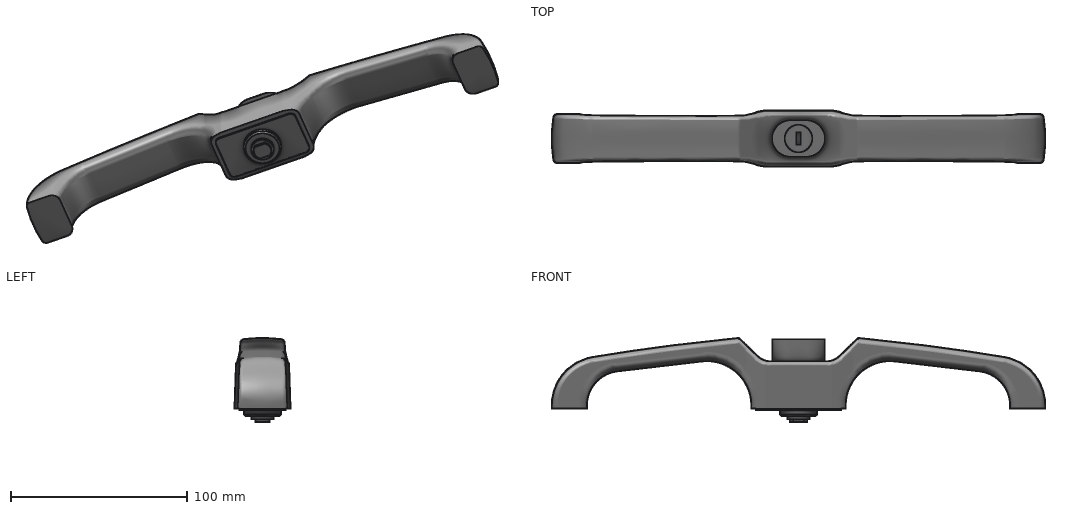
import cadquery as cq
import math


HANDLE_LENGTH = 279.89
HALF_LENGTH = HANDLE_LENGTH / 2
HUB_WIDTH = 32.0
ARM_WIDTH = 28.0
DRAFT_ANGLE = 2.0
HUB_FLAT_HALF_LENGTH = 19.0
HUB_BLEND_END = 30.3
HUB_BLEND_RADIUS = 3.0
PLATFORM_HEIGHT = 26.9
SHOULDER_BASE = 20.1
SHOULDER_ANGLE = 44.0
PLATFORM_CORNER_RADIUS = 11.0
TOP_EDGE_RADIUS = 2.6
HANDLE_TOP = 40.15
TIP_TRIM = 0.058
TIP_HEIGHT = HANDLE_TOP + TIP_TRIM
TIP_RADIUS = 1.5
TIP_X = SHOULDER_BASE + (TIP_HEIGHT - PLATFORM_HEIGHT) / math.tan(math.radians(SHOULDER_ANGLE))

FOOT_STRAIGHT = 2.0
OUTER_BEND_RADIUS = 27.8
OUTER_BEND_SLOPE = 9.3
CROWN_HEIGHT = 2.2
CUTTER_HALF_WIDTH = 18.0
CUTTER_DEPTH = 30.0

OPENING_OUTER_X = 119.8
OPENING_INNER_X = 26.8
HUB_BEND_RADIUS = 24.9
FOOT_BEND_RADIUS = 19.2
OPENING_EDGE_RADIUS = 5.0
SHORTEST_EDGE = 0.2

BUTTON_LENGTH = 30.0
BUTTON_WIDTH = 20.6
BUTTON_TOP = 39.4
CORE_DIAMETER = 15.6
CORE_LENGTH = 8.0
CORE_RECESS = 0.5
KEYWAY_LENGTH = 7.0
KEYWAY_WIDTH = 2.8
KEYWAY_DEPTH = 4.0

GASKET_LENGTH = 48.5
GASKET_WIDTH = 26.5
GASKET_THICKNESS = 1.0
GASKET_CORNER_RADIUS = 3.0
COLLAR_DIAMETER = 21.2
COLLAR_THICKNESS = 3.2
COLLAR_CHAMFER = 1.0
WASHER_DIAMETER = 12.8
WASHER_THICKNESS = 1.8
SHAFT_DIAMETER = 10.0
SHAFT_FLATS = 8.0
OVERALL_HEIGHT = 47.75
COLLAR_TOP = -GASKET_THICKNESS
WASHER_TOP = COLLAR_TOP - COLLAR_THICKNESS
SHAFT_TOP = WASHER_TOP - WASHER_THICKNESS
SHAFT_BOTTOM = HANDLE_TOP - OVERALL_HEIGHT


def handle_plan():
    """Drafted block that bounds the side walls of one arm and half of the hub."""
    overrun = 20.0
    arm_y = ARM_WIDTH / 2
    hub_y = HUB_WIDTH / 2
    far_x = -HALF_LENGTH - overrun
    turn = math.atan2(hub_y - arm_y, HUB_BLEND_END - HUB_FLAT_HALF_LENGTH)
    tangent = HUB_BLEND_RADIUS * math.tan(turn / 2)
    arm_point_x = -HUB_BLEND_END - tangent
    hub_point_x = -HUB_BLEND_END + tangent * math.cos(turn)
    rise = tangent * math.sin(turn)
    return (
        cq.Workplane("XY")
        .moveTo(far_x, arm_y)
        .lineTo(arm_point_x, arm_y)
        .tangentArcPoint((hub_point_x, arm_y + rise), relative=False)
        .lineTo(-HUB_FLAT_HALF_LENGTH, hub_y)
        .lineTo(HUB_FLAT_HALF_LENGTH, hub_y)
        .lineTo(HUB_FLAT_HALF_LENGTH, -hub_y)
        .lineTo(-HUB_FLAT_HALF_LENGTH, -hub_y)
        .lineTo(hub_point_x, -arm_y - rise)
        .tangentArcPoint((arm_point_x, -arm_y), relative=False)
        .lineTo(far_x, -arm_y)
        .close()
        .extrude(TIP_HEIGHT + overrun, taper=DRAFT_ANGLE)
    )


def shoulder_outline():
    """Extruded outline giving the platform and the sloping shoulder."""
    spare = 5.0
    top = TIP_HEIGHT + spare
    rise = top - PLATFORM_HEIGHT
    top_x = SHOULDER_BASE + rise / math.tan(math.radians(SHOULDER_ANGLE))
    blank = (
        cq.Workplane("XZ")
        .polyline([
            (0, 0),
            (-HALF_LENGTH - spare, 0),
            (-HALF_LENGTH - spare, top),
            (-top_x, top),
            (-SHOULDER_BASE, PLATFORM_HEIGHT),
            (0, PLATFORM_HEIGHT),
        ])
        .close()
        .extrude(HUB_WIDTH, both=True)
    )
    root = cq.selectors.NearestToPointSelector((-SHOULDER_BASE, 0, PLATFORM_HEIGHT))
    return blank.edges(root).fillet(PLATFORM_CORNER_RADIUS)


def crown_cutter():
    """Everything outside the crowned outer surface of one arm."""
    slope = math.radians(OUTER_BEND_SLOPE)
    middle = math.pi - (math.pi / 2 - slope) / 2
    bend_x = -HALF_LENGTH + OUTER_BEND_RADIUS
    bend_end = (
        bend_x - OUTER_BEND_RADIUS * math.sin(slope),
        FOOT_STRAIGHT + OUTER_BEND_RADIUS * math.cos(slope),
    )
    bend_middle = (
        bend_x + OUTER_BEND_RADIUS * math.cos(middle),
        FOOT_STRAIGHT + OUTER_BEND_RADIUS * math.sin(middle),
    )
    rise = TIP_HEIGHT - bend_end[1]
    run = -TIP_X - bend_end[0]
    chord_slope = math.atan2(rise, run)
    turn_to_tip = 2 * (slope - chord_slope)
    arm_radius = math.hypot(run, rise) / (2 * math.sin(turn_to_tip / 2))

    def on_arm_curve(fraction):
        angle = slope - fraction * turn_to_tip
        return (
            bend_end[0] + arm_radius * (math.sin(slope) - math.sin(angle)),
            bend_end[1] + arm_radius * (math.cos(angle) - math.cos(slope)),
        )

    overrun = 2.0
    past_tip = 1.2
    path = (
        cq.Workplane("XZ")
        .moveTo(-HALF_LENGTH, -overrun)
        .lineTo(-HALF_LENGTH, FOOT_STRAIGHT)
        .threePointArc(bend_middle, bend_end)
        .threePointArc(on_arm_curve(past_tip / 2), on_arm_curve(past_tip))
    )
    crown_x = -HALF_LENGTH + CROWN_HEIGHT
    return (
        cq.Workplane("XY", origin=(0, 0, -overrun))
        .moveTo(crown_x, -CUTTER_HALF_WIDTH)
        .threePointArc((-HALF_LENGTH, 0), (crown_x, CUTTER_HALF_WIDTH))
        .lineTo(-HALF_LENGTH - CUTTER_DEPTH, CUTTER_HALF_WIDTH)
        .lineTo(-HALF_LENGTH - CUTTER_DEPTH, -CUTTER_HALF_WIDTH)
        .close()
        .sweep(path)
    )


def finger_opening():
    """Arched space between the foot and the hub."""
    foot_x = -OPENING_OUTER_X + FOOT_BEND_RADIUS
    hub_x = -OPENING_INNER_X - HUB_BEND_RADIUS
    slope = math.asin((HUB_BEND_RADIUS - FOOT_BEND_RADIUS) / (hub_x - foot_x))

    def on_bend(centre_x, radius, angle):
        return (centre_x + radius * math.cos(angle), FOOT_STRAIGHT + radius * math.sin(angle))

    top = math.pi / 2 + slope
    return (
        cq.Workplane("XZ")
        .moveTo(-OPENING_OUTER_X, 0)
        .lineTo(-OPENING_OUTER_X, FOOT_STRAIGHT)
        .threePointArc(
            on_bend(foot_x, FOOT_BEND_RADIUS, (math.pi + top) / 2),
            on_bend(foot_x, FOOT_BEND_RADIUS, top),
        )
        .lineTo(*on_bend(hub_x, HUB_BEND_RADIUS, top))
        .threePointArc(
            on_bend(hub_x, HUB_BEND_RADIUS, top / 2),
            (-OPENING_INNER_X, FOOT_STRAIGHT),
        )
        .lineTo(-OPENING_INNER_X, 0)
        .close()
        .extrude(HUB_WIDTH, both=True)
    )


def long_side_edges(arm, is_wanted):
    """Edges beside the middle plane that run lengthwise, or rise from the foot, and pass a test."""
    def is_chosen(edge):
        middle = edge.Center()
        beside = abs(middle.y) > ARM_WIDTH / 4
        lengthwise = abs(edge.startPoint().x - edge.endPoint().x) > SHORTEST_EDGE
        at_foot = middle.z < FOOT_STRAIGHT
        above_base = middle.z > SHORTEST_EDGE
        return beside and above_base and (lengthwise or at_foot) and is_wanted(middle)

    return arm.newObject([edge for edge in arm.edges().vals() if is_chosen(edge)])


def is_top_side(middle):
    """True beside the crowned outer surface, shoulder and platform."""
    return middle.x < -HALF_LENGTH + CROWN_HEIGHT or middle.z > FOOT_STRAIGHT


def is_opening_side(middle):
    """True beside the finger opening."""
    roof = FOOT_STRAIGHT + HUB_BEND_RADIUS
    half_span = (OPENING_OUTER_X - OPENING_INNER_X) / 2 + SHORTEST_EDGE
    within = abs(middle.x + (OPENING_OUTER_X + OPENING_INNER_X) / 2) < half_span
    return within and middle.z < roof


def make_handle():
    arm = handle_plan().intersect(shoulder_outline()).cut(crown_cutter())
    arm = long_side_edges(arm, is_top_side).fillet(TOP_EDGE_RADIUS)
    tip = cq.selectors.NearestToPointSelector((-TIP_X, 0, TIP_HEIGHT))
    arm = arm.edges(tip).fillet(TIP_RADIUS)
    arm = arm.cut(finger_opening())
    arm = long_side_edges(arm, is_opening_side).fillet(OPENING_EDGE_RADIUS)
    return arm.union(arm.mirror("YZ"))


def make_button():
    """Rounded push button with a round pocket for the lock core."""
    return (
        cq.Workplane("XY", origin=(0, 0, PLATFORM_HEIGHT))
        .slot2D(BUTTON_LENGTH, BUTTON_WIDTH)
        .extrude(BUTTON_TOP - PLATFORM_HEIGHT)
        .faces(">Z")
        .workplane()
        .hole(CORE_DIAMETER, CORE_RECESS + CORE_LENGTH)
    )


def make_lock_core():
    """Lock cylinder, slightly below the button face, with its keyway."""
    return (
        cq.Workplane("XY", origin=(0, 0, BUTTON_TOP - CORE_RECESS - CORE_LENGTH))
        .circle(CORE_DIAMETER / 2)
        .extrude(CORE_LENGTH)
        .faces(">Z")
        .workplane()
        .rect(KEYWAY_WIDTH, KEYWAY_LENGTH)
        .cutBlind(-KEYWAY_DEPTH)
    )


def make_gasket():
    return (
        cq.Workplane("XY")
        .rect(GASKET_LENGTH, GASKET_WIDTH)
        .extrude(-GASKET_THICKNESS)
        .edges("|Z")
        .fillet(GASKET_CORNER_RADIUS)
    )


def make_collar():
    return (
        cq.Workplane("XY", origin=(0, 0, COLLAR_TOP))
        .circle(COLLAR_DIAMETER / 2)
        .extrude(-COLLAR_THICKNESS)
        .faces("<Z")
        .chamfer(COLLAR_CHAMFER)
    )


def make_washer():
    return (
        cq.Workplane("XY", origin=(0, 0, WASHER_TOP))
        .circle(WASHER_DIAMETER / 2)
        .extrude(-WASHER_THICKNESS)
    )


def make_shaft():
    """Round shaft end with two flats facing front and back."""
    length = SHAFT_TOP - SHAFT_BOTTOM
    flats = (
        cq.Workplane("XY", origin=(0, 0, SHAFT_TOP))
        .rect(SHAFT_DIAMETER, SHAFT_FLATS)
        .extrude(-length)
    )
    return (
        cq.Workplane("XY", origin=(0, 0, SHAFT_TOP))
        .circle(SHAFT_DIAMETER / 2)
        .extrude(-length)
        .intersect(flats)
    )


handle = make_handle()
button = make_button()
lock_core = make_lock_core()
gasket = make_gasket()
collar = make_collar()
washer = make_washer()
shaft = make_shaft()

result = cq.Compound.makeCompound([
    handle.val(),
    button.val(),
    lock_core.val(),
    gasket.val(),
    collar.val(),
    washer.val(),
    shaft.val(),
])